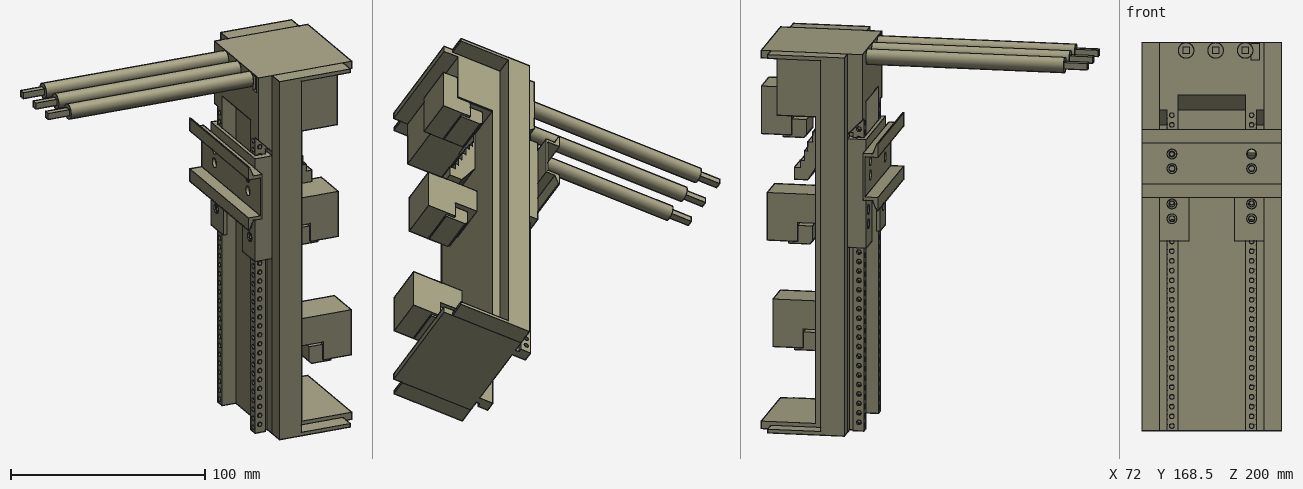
import cadquery as cq

HEIGHT = 200.0
WIDTH = 72.0
CORE_WIDTH = 54.0
CORE_BACK = -28.5
CORE_END_PLATE = 4.0
WING_REAR = -5.0
WING_BACK = -32.8
WING_FRONT = -45.2
WING_END_PLATE = 2.0
CORE_FRONT = -53.0
HEAD_BLOCK_REAR = -8.2
HEAD_BLOCK_BOTTOM = HEIGHT - 34.0

RIB_OUTER = 23.0
RIB_INNER = 17.5
CHANNEL_TOP = HEIGHT - 27.0
SIDE_CHANNEL_TOP = HEIGHT - 34.8
UNDERCUT_DEPTH = 2.0
UNDERCUT_FRONT = -47.2
UNDERCUT_TOP = 157.5

HOLE_PITCH = 5.0
RIB_HOLE_DIAMETER = 2.5
RIB_HOLE_DEPTH = 3.0
HOLE_X = 20.5
FRONT_HOLE_START = HOLE_PITCH / 2
SIDE_HOLE_START = 4.5
SIDE_HOLE_Y = -50.5
RIB_HOLE_COUNT = 33
SIDE_HOLE_COUNT = 32

WINDOW_CENTER_X = 22.5
WINDOW_WIDTH = 4.5
WINDOW_TOP = HEIGHT - 0.5
WINDOW_HEIGHT = 8.5
WINDOW_DEPTH = 1.5

CLAMP_COUNT = 3
CLAMP_TOP = 181.0
CLAMP_PITCH_Z = 60.0
CLAMP_PITCH_X = 16.0
CLAMP_WIDTH = 20.8
CLAMP_HEIGHT = 25.2
CLAMP_ARM = 15.2
CLAMP_LEG_FRONT = -15.8
JAW_INSET = 1.2
JAW_BACK = -11.0
JAW_FRONT = -23.5
JAW_TOP_DROP = 17.0
JAW_BOTTOM_DROP = 26.5
JAW_CHAMFER = 1.5

LATCH_WIDTH = 16.0
LATCH_SKIN = 0.5

CARRIER_TOP = 155.2
CARRIER_BOTTOM = 97.8
CARRIER_FRONT = -55.0
CARRIER_LEG_INNER = 11.5
RAIL_TOP = 155.2
RAIL_HEIGHT = 35.2
RAIL_DEPTH = 7.8
RAIL_WEB = 1.0
RAIL_FLANGE = 1.8
RAIL_LIP = 7.0
RAIL_LIP_ROOT = 2.8
RAIL_LIP_TIP = 0.5
RAIL_BOTTOM = RAIL_TOP - RAIL_HEIGHT
RAIL_FRONT = CARRIER_FRONT - RAIL_DEPTH
RAIL_WEB_FRONT = CARRIER_FRONT - RAIL_WEB

RAIL_HOLE_Z = (142.5, 135.0)
FOOT_HOLE_Z = (116.8, 109.2)
COUNTERBORE_DIAMETER = 5.0
SCREW_SEAT = -54.2
SCREW_HOLE_DIAMETER = 3.0
SCREW_SLOT_WIDTH = 1.0
SCREW_SLOT_DEPTH = 1.2

CABLE_DIAMETER = 8.0
CABLE_PITCH = 15.2
CABLE_MIDDLE_X = 2.0
CABLE_Z = 195.8
CABLE_END = -156.5
CONDUCTOR_SIDE = 3.5
CONDUCTOR_END = -168.5


def block(x_range, y_range, z_range):
    """Box spanning three coordinate ranges."""
    size = [max(r) - min(r) for r in (x_range, y_range, z_range)]
    corner = [min(r) for r in (x_range, y_range, z_range)]
    return cq.Workplane("XY").box(*size, centered=False).translate(tuple(corner))


def prism(points, x_start, x_end):
    """Closed outline of (y, z) points extruded along X."""
    return cq.Workplane("YZ", origin=(x_start, 0, 0)).polyline(points).close().extrude(x_end - x_start)


def rod(diameter, y_start, y_end, x, z):
    """Cylinder running forwards from y_start to y_end."""
    return cq.Workplane("XZ", origin=(x, y_start, z)).circle(diameter / 2).extrude(y_start - y_end)


def upright_channel(rear, back, front, plate):
    """Outline of an upright web with a rearward plate at each end."""
    return [
        (rear, 0),
        (front, 0),
        (front, HEIGHT),
        (rear, HEIGHT),
        (rear, HEIGHT - plate),
        (back, HEIGHT - plate),
        (back, plate),
        (rear, plate),
    ]


def make_base_shell():
    half_core = CORE_WIDTH / 2
    core = prism(upright_channel(0, CORE_BACK, CORE_FRONT, CORE_END_PLATE), -half_core, half_core)
    head = block((-half_core, half_core), (HEAD_BLOCK_REAR, CORE_BACK), (HEAD_BLOCK_BOTTOM, HEIGHT))
    return core.union(head)


def channel(x_range, top):
    """Cutter for a front channel whose upper end slopes up to the front at 45 degrees."""
    depth = WING_FRONT - CORE_FRONT
    outline = [(CORE_FRONT, 0), (WING_FRONT, 0), (WING_FRONT, top - depth), (CORE_FRONT, top)]
    return prism(outline, *x_range)


def rib_undercut(side, bottom, top):
    """Space below the outer edge of one rib, where the carrier hooks in."""
    x_range = (side * (RIB_OUTER - UNDERCUT_DEPTH), side * RIB_OUTER)
    return block(x_range, (WING_FRONT, UNDERCUT_FRONT), (bottom, top))


def cut_front_channels(base):
    half_core = CORE_WIDTH / 2
    base = base.cut(channel((-RIB_INNER, RIB_INNER), CHANNEL_TOP))
    for side in (-1, 1):
        x_range = sorted((side * RIB_OUTER, side * half_core))
        undercut = rib_undercut(side, 0, UNDERCUT_TOP)
        base = base.cut(channel(x_range, SIDE_CHANNEL_TOP)).cut(undercut)
    return base


def drill_ribs(base):
    for side in (-1, 1):
        front_points = [(side * HOLE_X, FRONT_HOLE_START + i * HOLE_PITCH) for i in range(RIB_HOLE_COUNT)]
        front_holes = (
            cq.Workplane("XZ", origin=(0, CORE_FRONT + RIB_HOLE_DEPTH, 0))
            .pushPoints(front_points)
            .circle(RIB_HOLE_DIAMETER / 2)
            .extrude(RIB_HOLE_DEPTH)
        )
        side_points = [(SIDE_HOLE_Y, SIDE_HOLE_START + i * HOLE_PITCH) for i in range(SIDE_HOLE_COUNT)]
        side_holes = (
            cq.Workplane("YZ", origin=(side * RIB_OUTER, 0, 0))
            .pushPoints(side_points)
            .circle(RIB_HOLE_DIAMETER / 2)
            .extrude(-side * RIB_HOLE_DEPTH)
        )
        base = base.cut(front_holes).cut(side_holes)
    return base


def cut_window(base):
    window = block(
        (WINDOW_CENTER_X - WINDOW_WIDTH / 2, WINDOW_CENTER_X + WINDOW_WIDTH / 2),
        (CORE_FRONT + WINDOW_DEPTH, CORE_FRONT),
        (WINDOW_TOP - WINDOW_HEIGHT, WINDOW_TOP),
    )
    return base.cut(window)


def make_clamp(x, top):
    outline = [
        (0, top),
        (CORE_BACK, top),
        (CORE_BACK, top - CLAMP_ARM),
        (CLAMP_LEG_FRONT, top - CLAMP_ARM),
        (CLAMP_LEG_FRONT, top - CLAMP_HEIGHT),
        (0, top - CLAMP_HEIGHT),
    ]
    half_width = CLAMP_WIDTH / 2
    half_jaw = half_width - JAW_INSET
    jaw_bottom = top - JAW_BOTTOM_DROP
    jaw_outline = [
        (JAW_BACK, top - JAW_TOP_DROP),
        (JAW_FRONT, top - JAW_TOP_DROP),
        (JAW_FRONT, jaw_bottom + JAW_CHAMFER),
        (JAW_FRONT + JAW_CHAMFER, jaw_bottom),
        (JAW_BACK, jaw_bottom),
    ]
    jaw = prism(jaw_outline, x - half_jaw, x + half_jaw)
    return prism(outline, x - half_width, x + half_width).union(jaw)


def make_latch():
    """Serrated latch on the rear of the base, below the head block."""
    outline = [
        (CORE_BACK, HEAD_BLOCK_BOTTOM),
        (CORE_BACK + LATCH_SKIN, HEAD_BLOCK_BOTTOM),
        (-27.8, 160.0),
        (-27.2, 160.0),
        (-27.2, 156.5),
        (-25.2, 156.5),
        (-25.2, 153.5),
        (-23.5, 153.5),
        (-23.5, 148.2),
        (-20.8, 148.2),
        (-20.8, 143.2),
        (-19.0, 143.2),
        (-19.0, 138.2),
        (-17.0, 138.2),
        (-17.0, 134.5),
        (-13.8, 134.5),
        (-13.8, 128.0),
        (-20.8, 128.0),
        (CORE_BACK, 140.0),
    ]
    return prism(outline, -LATCH_WIDTH / 2, LATCH_WIDTH / 2)


def make_base():
    base = make_base_shell()
    base = cut_front_channels(base)
    base = drill_ribs(base)
    base = cut_window(base)
    for i in range(CLAMP_COUNT):
        x = (i - (CLAMP_COUNT - 1) / 2) * CLAMP_PITCH_X
        base = base.union(make_clamp(x, CLAMP_TOP - i * CLAMP_PITCH_Z))
    return base.union(make_latch())


def make_side_module(side):
    x_start, x_end = sorted((side * CORE_WIDTH / 2, side * WIDTH / 2))
    return prism(upright_channel(WING_REAR, WING_BACK, WING_FRONT, WING_END_PLATE), x_start, x_end)


def drill_carrier_hole(body, x, z, front):
    bore = rod(SCREW_HOLE_DIAMETER, CORE_FRONT, front, x, z)
    seat = rod(COUNTERBORE_DIAMETER, SCREW_SEAT, front, x, z)
    return body.cut(bore).cut(seat)


def make_carrier_block():
    half_width = CORE_WIDTH / 2
    z_range = (CARRIER_BOTTOM, CARRIER_TOP)
    carrier = block((-half_width, half_width), (CORE_FRONT, CARRIER_FRONT), z_range)
    for side in (-1, 1):
        leg = block((side * RIB_OUTER, side * half_width), (WING_FRONT, CORE_FRONT), z_range)
        hook = rib_undercut(side, CARRIER_BOTTOM, CARRIER_TOP)
        carrier = carrier.union(leg).union(hook)
    opening = block(
        (-CARRIER_LEG_INNER, CARRIER_LEG_INNER),
        (CORE_FRONT, CARRIER_FRONT),
        (CARRIER_BOTTOM, RAIL_BOTTOM + RAIL_LIP),
    )
    return carrier.cut(opening)


def make_rail():
    lip_inner = RAIL_LIP - RAIL_FLANGE
    upper = [
        (CARRIER_FRONT, RAIL_TOP - lip_inner),
        (RAIL_FRONT + RAIL_LIP_ROOT, RAIL_TOP - lip_inner),
        (RAIL_FRONT + RAIL_LIP_TIP, RAIL_TOP),
        (RAIL_FRONT, RAIL_TOP),
        (RAIL_FRONT, RAIL_TOP - RAIL_LIP),
        (RAIL_WEB_FRONT, RAIL_TOP - RAIL_LIP),
    ]
    lower = [(y, RAIL_TOP + RAIL_BOTTOM - z) for y, z in reversed(upper)]
    return prism(upper + lower, -WIDTH / 2, WIDTH / 2)


def make_carrier():
    """Carrier block and mounting rail in one piece, with counterbored screw holes through both."""
    carrier = make_carrier_block().union(make_rail())
    for side in (-1, 1):
        for z in RAIL_HOLE_Z:
            carrier = drill_carrier_hole(carrier, side * HOLE_X, z, RAIL_WEB_FRONT)
        for z in FOOT_HOLE_Z:
            carrier = drill_carrier_hole(carrier, side * HOLE_X, z, CARRIER_FRONT)
    return carrier


def make_screw():
    """Slotted round-head screw with its domed head in the counterbore."""
    x = HOLE_X
    z = RAIL_HOLE_Z[0]
    radius = COUNTERBORE_DIAMETER / 2
    head = cq.Workplane("XY").sphere(radius).translate((x, SCREW_SEAT, z))
    head = head.intersect(
        block((x - radius, x + radius), (SCREW_SEAT, SCREW_SEAT - radius), (z - radius, z + radius))
    )
    shank = rod(SCREW_HOLE_DIAMETER, CORE_FRONT, SCREW_SEAT, x, z)
    slot_floor = SCREW_SEAT - radius + SCREW_SLOT_DEPTH
    slot = block(
        (x - radius, x + radius),
        (slot_floor, SCREW_SEAT - radius),
        (z - SCREW_SLOT_WIDTH / 2, z + SCREW_SLOT_WIDTH / 2),
    )
    return head.union(shank).cut(slot)


def make_cable(x):
    insulation = rod(CABLE_DIAMETER, CORE_FRONT, CABLE_END, x, CABLE_Z)
    half_side = CONDUCTOR_SIDE / 2
    conductor = block(
        (x - half_side, x + half_side),
        (CABLE_END, CONDUCTOR_END),
        (CABLE_Z - half_side, CABLE_Z + half_side),
    )
    return insulation.union(conductor)


base = make_base()
side_modules = [make_side_module(side) for side in (-1, 1)]
carrier = make_carrier()
screw = make_screw()
cables = [make_cable(CABLE_MIDDLE_X + i * CABLE_PITCH) for i in (-1, 0, 1)]

result = cq.Compound.makeCompound(
    [
        base.val(),
        *[module.val() for module in side_modules],
        carrier.val(),
        screw.val(),
        *[cable.val() for cable in cables],
    ]
)